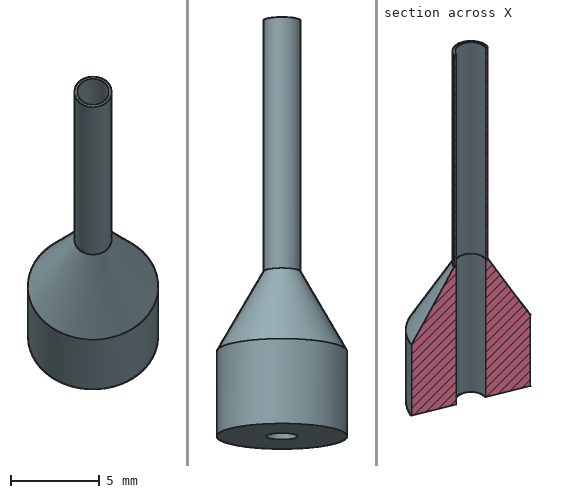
import cadquery as cq

TOTAL_HEIGHT = 24.0
COLLAR_DIAMETER = 7.4
SKIRT_HEIGHT = 4.9
CONE_TOP_HEIGHT = 9.5
TUBE_DIAMETER = 2.1
BORE_DIAMETER = 1.8

collar_radius = COLLAR_DIAMETER / 2
tube_radius = TUBE_DIAMETER / 2
bore_radius = BORE_DIAMETER / 2


def make_collar():
    """Cylindrical skirt and cone, bored through and ending in a flat rim under the tube."""
    half_profile = [
        (bore_radius, 0),
        (collar_radius, 0),
        (collar_radius, SKIRT_HEIGHT),
        (tube_radius, CONE_TOP_HEIGHT),
        (bore_radius, CONE_TOP_HEIGHT),
    ]
    return cq.Workplane("XZ").polyline(half_profile).close().revolve(360, (0, 0), (0, 1))


def make_tube():
    """Thin-walled tube standing on the rim of the collar, its bore in line with the collar's."""
    return (
        cq.Workplane("XY", origin=(0, 0, CONE_TOP_HEIGHT))
        .circle(tube_radius)
        .circle(bore_radius)
        .extrude(TOTAL_HEIGHT - CONE_TOP_HEIGHT)
    )


collar = make_collar()
tube = make_tube()

result = cq.Compound.makeCompound([collar.val(), tube.val()])